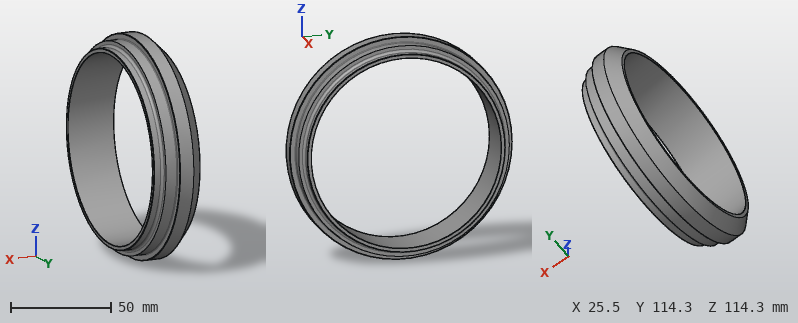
import cadquery as cq

bore_radius = 97.4 / 2
end_radius = 101.6 / 2
shoulder_radius = 108.1 / 2
flange_radius = 114.3 / 2

taper_end = 6.5
flange_end = 14.2
shoulder_end = 20.5
ring_length = 25.5

edge_chamfer = 0.29
bore_chamfer = 0.17
root_fillet = 0.3
spigot_fillet = 1.4

half_section = (
    cq.Workplane("XY")
    .moveTo(0, bore_radius + bore_chamfer)
    .lineTo(0, end_radius)
    .lineTo(taper_end, flange_radius)
    .lineTo(flange_end - edge_chamfer, flange_radius)
    .lineTo(flange_end, flange_radius - edge_chamfer)
    .lineTo(flange_end, shoulder_radius + root_fillet)
    .radiusArc((flange_end + root_fillet, shoulder_radius), -root_fillet)
    .lineTo(shoulder_end, shoulder_radius)
    .lineTo(shoulder_end, end_radius + spigot_fillet)
    .radiusArc((shoulder_end + spigot_fillet, end_radius), -spigot_fillet)
    .lineTo(ring_length - edge_chamfer, end_radius)
    .lineTo(ring_length, end_radius - edge_chamfer)
    .lineTo(ring_length, bore_radius + bore_chamfer)
    .lineTo(ring_length - bore_chamfer, bore_radius)
    .lineTo(bore_chamfer, bore_radius)
    .close()
)

result = half_section.revolve(360, (0, 0, 0), (1, 0, 0))